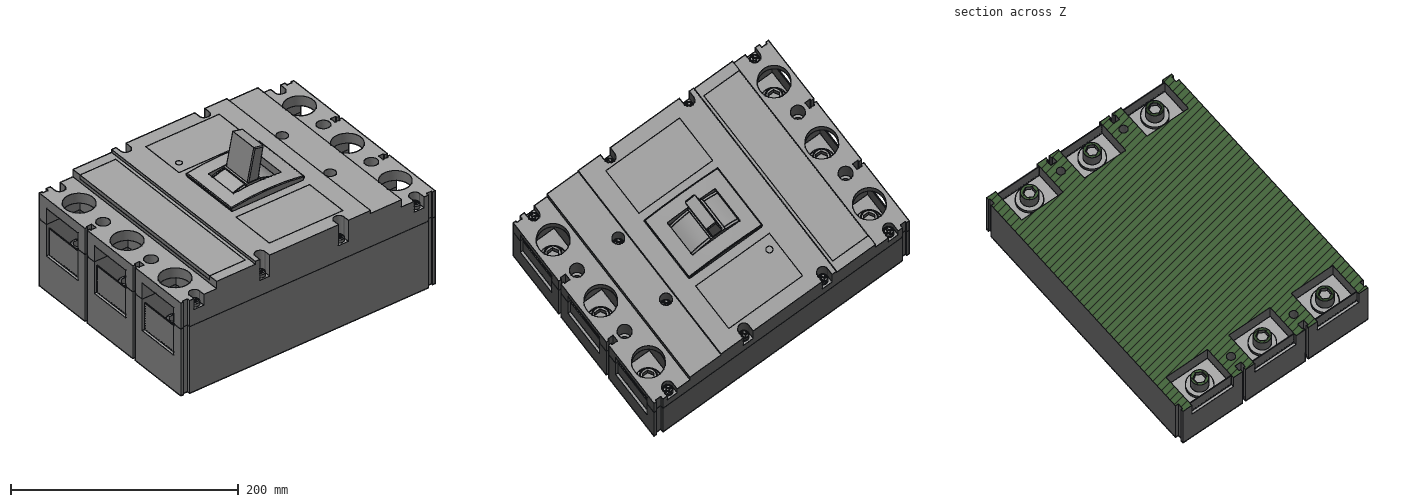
import cadquery as cq
import math


WIDTH = 210.0
LENGTH = 280.0
PARTING_Z = 72.5
TERMINAL_DECK_Z = 100.8
MIDDLE_DECK_Z = 108.7
TOP_DECK_Z = 111.8
TERMINAL_DECK_EDGE = 101.8
TOP_DECK_FRONT = -59.2
TOP_DECK_REAR = 67.6
OVERALL_HEIGHT = 154.83

POLE_PITCH = 70.0
POLE_XS = [-POLE_PITCH, 0.0, POLE_PITCH]
TERMINAL_Y = 121.2
ENDS = [-1, 1]

SLOT_XS = [(i - 1.5) * POLE_PITCH for i in range(4)]
SLOT_NECK_WIDTH = 3.2
SLOT_NECK_DEPTH = 3.0
SLOT_HEAD_WIDTH = 6.4
SLOT_DEPTH = 8.6

WINDOW_WIDTH = 46.0
WINDOW_BOTTOM = 38.4
WINDOW_TOP = 90.0
WINDOW_RECESS = 2.7
SILL_TOP = 67.2
SILL_THICKNESS = 1.0
CHAMBER_DEPTH = 37.0
CHAMBER_FLOOR = WINDOW_BOTTOM
ACCESS_HOLE_RADIUS = 14.9

WASHER_RADIUS = 12.6
WASHER_THICKNESS = 3.0
BOLT_HEAD_RADIUS = 8.2
BOLT_HEAD_HEIGHT = 15.6
BOLT_HEAD_CHAMFER = 1.0
SOCKET_ACROSS_FLATS = 10.0
SOCKET_DEPTH = 8.0

MOUNT_X = POLE_PITCH / 2
MOUNT_BORE_RADIUS = 3.8
MOUNT_COUNTERBORE_RADIUS = 6.5

SIDE_SCREW_X = 98.5
SIDE_SCREW_YS = [-TERMINAL_Y, -48.8, 37.8, TERMINAL_Y]
DECK_SCREW_Y = 75.8
SIDE_SCREW_WELL_RADIUS = 5.4
DECK_SCREW_WELL_RADIUS = 5.6
SCREW_WELL_FLOOR = 89.0
SCREW_HEAD_RADIUS = 4.7
SCREW_HEAD_TOP = 93.3
SCREW_HEAD_CHAMFER = 1.0
SCREW_CROSS_LENGTH = 6.0
SCREW_CROSS_WIDTH = 1.4
SCREW_CROSS_DEPTH = 2.0

LABEL_RECESS = 0.1
LABEL_WIDTH = 189.2
LABEL_REAR = -62.5
LABEL_BOTTOM = 104.4
PANEL_WIDTH = 48.7
PANEL_CENTER_X = 66.0
PANEL_FRONT = -32.7
PANEL_REAR = 48.2
BUTTON_X = -53.6
BUTTON_Y = -23.8
BUTTON_RADIUS = 3.1

FRAME_WIDTH = 66.0
FRAME_LENGTH = 81.0
FRAME_CENTER_Y = 8.8
FRAME_UNDERCUT = 1.0
FRAME_FOOT_TOP = 113.8
FRAME_EDGE_Z = 115.8
FRAME_CREST_Z = 119.0
FRAME_CHAMFER = 0.8
OPENING_WIDTH = 36.8
OPENING_LENGTH = 52.5
OPENING_CENTER_Y = 8.25
OPENING_FLOOR = 106.0

SHUTTER_RADIUS = 50.0
SHUTTER_AXIS_Y = 4.5
SHUTTER_CREST_Z = 119.4
SHUTTER_WIDTH = 34.0
SHUTTER_TRACK_WIDTH = 29.4
SHUTTER_STEP = 0.8
SHUTTER_CLEARANCE = 0.25
LEVER_WIDTH = 32.6
LEVER_ROOT_Z = 118.0
LEVER_ROOT_FRONT = -1.0
LEVER_ROOT_REAR = 11.3
LEVER_TIP_FRONT = 6.6
LEVER_TIP_REAR = 17.0
LEVER_TIP_DROP = 2.2
LEVER_EDGE_CHAMFER = 1.0
COLLAR_MARGIN = 1.8
COLLAR_BOTTOM = 114.0
COLLAR_TOP = 120.0


def box(x_min, x_max, y_min, y_max, z_min, z_max):
    size = (x_max - x_min, y_max - y_min, z_max - z_min)
    return cq.Workplane("XY").box(*size, centered=False).translate((x_min, y_min, z_min))


def centered_box(center_x, center_y, width, length, z_min, z_max):
    return box(center_x - width / 2, center_x + width / 2,
               center_y - length / 2, center_y + length / 2, z_min, z_max)


def cylinder(center_x, center_y, radius, z_min, z_max):
    disc = cq.Workplane("XY", origin=(center_x, center_y, z_min)).circle(radius)
    return disc.extrude(z_max - z_min)


def end_box(end, center_x, width, depth_from, depth_to, z_min, z_max):
    """Box measured inwards from the front (-1) or rear (+1) end face."""
    y_outer = end * (LENGTH / 2 - depth_from)
    y_inner = end * (LENGTH / 2 - depth_to)
    return box(center_x - width / 2, center_x + width / 2,
               min(y_outer, y_inner), max(y_outer, y_inner), z_min, z_max)


def cut_t_slots(body):
    for end in ENDS:
        for x in SLOT_XS:
            neck = end_box(end, x, SLOT_NECK_WIDTH, 0, SLOT_NECK_DEPTH, 0, TOP_DECK_Z)
            head = end_box(end, x, SLOT_HEAD_WIDTH, SLOT_NECK_DEPTH, SLOT_DEPTH, 0, TOP_DECK_Z)
            body = body.cut(neck).cut(head)
    return body


def cut_terminal_chambers(body):
    sill_inner = WINDOW_RECESS + SILL_THICKNESS
    for end in ENDS:
        for x in POLE_XS:
            recess = end_box(end, x, WINDOW_WIDTH, 0, WINDOW_RECESS, WINDOW_BOTTOM, WINDOW_TOP)
            mouth = end_box(end, x, WINDOW_WIDTH, WINDOW_RECESS, sill_inner, SILL_TOP, WINDOW_TOP)
            chamber = end_box(end, x, WINDOW_WIDTH, sill_inner, CHAMBER_DEPTH, CHAMBER_FLOOR, WINDOW_TOP)
            body = body.cut(recess).cut(mouth).cut(chamber)
    return body


def cut_mounting_holes(body, radius):
    for end in ENDS:
        for side in (-1, 1):
            body = body.cut(cylinder(side * MOUNT_X, end * TERMINAL_Y, radius, 0, TOP_DECK_Z))
    return body


def make_base():
    base = centered_box(0, 0, WIDTH, LENGTH, 0, PARTING_Z)
    base = cut_t_slots(base)
    base = cut_terminal_chambers(base)
    return cut_mounting_holes(base, MOUNT_BORE_RADIUS)


def stepped_shell():
    half = LENGTH / 2
    edge = TERMINAL_DECK_EDGE
    profile = [
        (-half, PARTING_Z), (half, PARTING_Z),
        (half, TERMINAL_DECK_Z), (edge, TERMINAL_DECK_Z),
        (edge, MIDDLE_DECK_Z), (TOP_DECK_REAR, MIDDLE_DECK_Z),
        (TOP_DECK_REAR, TOP_DECK_Z), (TOP_DECK_FRONT, TOP_DECK_Z),
        (TOP_DECK_FRONT, MIDDLE_DECK_Z), (-edge, MIDDLE_DECK_Z),
        (-edge, TERMINAL_DECK_Z), (-half, TERMINAL_DECK_Z),
    ]
    return cq.Workplane("YZ").polyline(profile).close().extrude(WIDTH / 2, both=True)


def escutcheon():
    y_front = FRAME_CENTER_Y - FRAME_LENGTH / 2
    y_rear = FRAME_CENTER_Y + FRAME_LENGTH / 2
    crown = (
        cq.Workplane("YZ")
        .moveTo(y_front, FRAME_FOOT_TOP)
        .lineTo(y_rear, FRAME_FOOT_TOP)
        .lineTo(y_rear, FRAME_EDGE_Z)
        .threePointArc((FRAME_CENTER_Y, FRAME_CREST_Z), (y_front, FRAME_EDGE_Z))
        .close()
        .extrude(FRAME_WIDTH / 2, both=True)
    )
    crown = crown.faces(">Z").chamfer(FRAME_CHAMFER)
    foot = centered_box(0, FRAME_CENTER_Y, FRAME_WIDTH,
                        FRAME_LENGTH - 2 * FRAME_UNDERCUT, TOP_DECK_Z, FRAME_FOOT_TOP)
    return crown.union(foot)


def screw_head(x, y):
    head = cylinder(x, y, SCREW_HEAD_RADIUS, SCREW_WELL_FLOOR, SCREW_HEAD_TOP)
    head = head.faces(">Z").chamfer(SCREW_HEAD_CHAMFER)
    cross_bottom = SCREW_HEAD_TOP - SCREW_CROSS_DEPTH
    for width, length in ((SCREW_CROSS_LENGTH, SCREW_CROSS_WIDTH), (SCREW_CROSS_WIDTH, SCREW_CROSS_LENGTH)):
        head = head.cut(centered_box(x, y, width, length, cross_bottom, SCREW_HEAD_TOP))
    return head


def add_cover_screws(cover):
    for side in (-1, 1):
        screw_x = side * SIDE_SCREW_X
        outer_x = side * WIDTH / 2
        for y in SIDE_SCREW_YS:
            well = cylinder(screw_x, y, SIDE_SCREW_WELL_RADIUS, SCREW_WELL_FLOOR, TOP_DECK_Z)
            side_opening = box(min(screw_x, outer_x), max(screw_x, outer_x),
                               y - SIDE_SCREW_WELL_RADIUS, y + SIDE_SCREW_WELL_RADIUS,
                               SCREW_WELL_FLOOR, TOP_DECK_Z)
            cover = cover.cut(well).cut(side_opening).union(screw_head(screw_x, y))
        deck_x = side * MOUNT_X
        well = cylinder(deck_x, DECK_SCREW_Y, DECK_SCREW_WELL_RADIUS, SCREW_WELL_FLOOR, TOP_DECK_Z)
        cover = cover.cut(well).union(screw_head(deck_x, DECK_SCREW_Y))
    return cover


def cut_label_areas(cover):
    label_top = box(-LABEL_WIDTH / 2, LABEL_WIDTH / 2, -TERMINAL_DECK_EDGE, LABEL_REAR,
                    MIDDLE_DECK_Z - LABEL_RECESS, MIDDLE_DECK_Z)
    label_front = box(-LABEL_WIDTH / 2, LABEL_WIDTH / 2,
                      -TERMINAL_DECK_EDGE, -TERMINAL_DECK_EDGE + LABEL_RECESS,
                      LABEL_BOTTOM, MIDDLE_DECK_Z)
    cover = cover.cut(label_top).cut(label_front)
    panel_z = TOP_DECK_Z - LABEL_RECESS
    for side in (-1, 1):
        x = side * PANEL_CENTER_X
        cover = cover.cut(box(x - PANEL_WIDTH / 2, x + PANEL_WIDTH / 2,
                              PANEL_FRONT, PANEL_REAR, panel_z, TOP_DECK_Z))
    return cover.cut(cylinder(BUTTON_X, BUTTON_Y, BUTTON_RADIUS, panel_z - LABEL_RECESS, panel_z))


def make_cover():
    cover = stepped_shell().union(escutcheon())
    cover = cover.cut(centered_box(0, OPENING_CENTER_Y, OPENING_WIDTH, OPENING_LENGTH,
                                   OPENING_FLOOR, FRAME_CREST_Z))
    cover = cut_t_slots(cover)
    cover = cut_terminal_chambers(cover)
    for end in ENDS:
        for x in POLE_XS:
            cover = cover.cut(cylinder(x, end * TERMINAL_Y, ACCESS_HOLE_RADIUS, WINDOW_TOP, TERMINAL_DECK_Z))
    cover = cut_mounting_holes(cover, MOUNT_COUNTERBORE_RADIUS)
    cover = cut_label_areas(cover)
    return add_cover_screws(cover)


def shutter_strip(radius, width):
    axis_z = SHUTTER_CREST_Z - SHUTTER_RADIUS
    half = OPENING_LENGTH / 2 - SHUTTER_CLEARANCE
    front, rear = OPENING_CENTER_Y - half, OPENING_CENTER_Y + half
    front_z = axis_z + math.sqrt(radius ** 2 - (front - SHUTTER_AXIS_Y) ** 2)
    rear_z = axis_z + math.sqrt(radius ** 2 - (rear - SHUTTER_AXIS_Y) ** 2)
    return (
        cq.Workplane("YZ", origin=(-width / 2, 0, 0))
        .moveTo(front, OPENING_FLOOR)
        .lineTo(rear, OPENING_FLOOR)
        .lineTo(rear, rear_z)
        .threePointArc((SHUTTER_AXIS_Y, axis_z + radius), (front, front_z))
        .close()
        .extrude(width)
    )


def make_lever():
    profile = [
        (LEVER_ROOT_FRONT, LEVER_ROOT_Z),
        (LEVER_TIP_FRONT, OVERALL_HEIGHT),
        (LEVER_TIP_REAR, OVERALL_HEIGHT - LEVER_TIP_DROP),
        (LEVER_ROOT_REAR, LEVER_ROOT_Z),
    ]
    lever = cq.Workplane("YZ").polyline(profile).close().extrude(LEVER_WIDTH / 2, both=True)
    return lever.faces("<X or >X").edges("not <Z").chamfer(LEVER_EDGE_CHAMFER)


def make_handle():
    shutter = shutter_strip(SHUTTER_RADIUS, SHUTTER_TRACK_WIDTH)
    shutter = shutter.union(shutter_strip(SHUTTER_RADIUS - SHUTTER_STEP, SHUTTER_WIDTH))
    collar = box(-SHUTTER_WIDTH / 2, SHUTTER_WIDTH / 2,
                 LEVER_ROOT_FRONT - COLLAR_MARGIN, LEVER_ROOT_REAR + COLLAR_MARGIN,
                 COLLAR_BOTTOM, COLLAR_TOP)
    return shutter.union(collar).union(make_lever())


def make_terminal_bolt(x, y):
    head_bottom = CHAMBER_FLOOR + WASHER_THICKNESS
    head_top = head_bottom + BOLT_HEAD_HEIGHT
    washer = cylinder(x, y, WASHER_RADIUS, CHAMBER_FLOOR, head_bottom)
    head = cylinder(x, y, BOLT_HEAD_RADIUS, head_bottom, head_top)
    head = head.faces(">Z").chamfer(BOLT_HEAD_CHAMFER)
    socket = (
        cq.Workplane("XY")
        .polygon(6, SOCKET_ACROSS_FLATS, circumscribed=True)
        .extrude(SOCKET_DEPTH)
        .translate((x, y, head_top - SOCKET_DEPTH))
    )
    return washer.union(head).cut(socket)


base = make_base()
cover = make_cover()
handle = make_handle()
terminal_bolts = [make_terminal_bolt(x, end * TERMINAL_Y) for end in ENDS for x in POLE_XS]

result = cq.Compound.makeCompound([
    base.val(),
    cover.val(),
    handle.val(),
    *[bolt.val() for bolt in terminal_bolts],
])